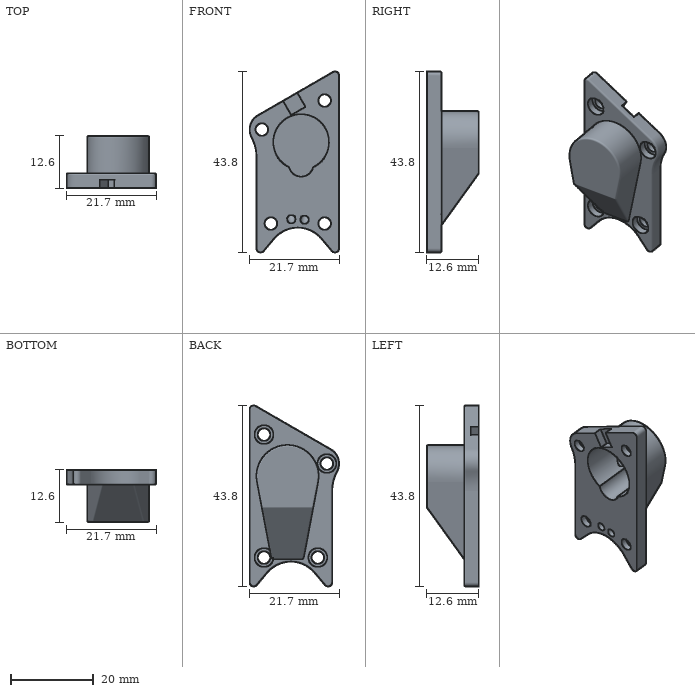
import cadquery as cq
import math


plate_thickness = 3.6
plate_width = 20.0
plate_right = 9.2
plate_left = plate_right - plate_width
plate_height = 43.8
plate_top = 17.1
plate_bottom = plate_top - plate_height
corner_radius = 1.0
edge_round = 0.45

slope_angle = 30.0
ear_radius = 4.0
ear_reach = 21.7
ear_blend_radius = 10.0

saddle_radius = 7.5
saddle_top = -20.72

screw_hole_radius = 1.5
counterbore_radius = 2.3
counterbore_depth = 1.95
screw_inset = 3.5
screw_lower_z = -19.7
screw_upper_z = 10.05
ear_screw = (-9.5, 3.02)

notch_size = 4.0
notch_depth = 2.0
notch_x = -2.67

boss_radius = 7.55
boss_back = 12.6
boss_taper = 10.7
ramp_back_z = -7.6
ramp_plate_z = -20.1

bore_radius = 6.75
bore_depth = 11.4
lobe_radius = 3.0
lobe_bottom = -8.35

channel_radius = 1.0
channel_elbow_y = 1.3
channel_mouths = [(-2.35, -18.65), (0.85, -18.8)]
channel_end_x = 4.8
channel_end_yz = (10.15, -4.15)


def polar(centre, radius, degrees):
    angle = math.radians(degrees)
    return (centre[0] + radius * math.cos(angle), centre[1] + radius * math.sin(angle))


def on_plane_y(y):
    """Sketch plane at the given depth, with local axes X and Z."""
    return cq.Workplane(cq.Plane(origin=(0, y, 0), xDir=(1, 0, 0), normal=(0, -1, 0)))


def prism(sketch, depth):
    """Extrude a sketch from on_plane_y toward +Y."""
    return sketch.extrude(-depth)


slope_normal = 90.0 + slope_angle
normal_x, normal_z = polar((0, 0), 1.0, slope_normal)
top_corner = (plate_right - corner_radius, plate_top - corner_radius)
slope_offset = top_corner[0] * normal_x + top_corner[1] * normal_z + corner_radius


def plate_outline():
    ear_x = plate_right - ear_reach + ear_radius
    ear = (ear_x, (slope_offset - ear_radius - ear_x * normal_x) / normal_z)
    blend_x = plate_left - ear_blend_radius
    blend_angle = math.degrees(math.acos((ear[0] - blend_x) / (ear_radius + ear_blend_radius)))
    blend = (blend_x, ear[1] - (ear[0] - blend_x) * math.tan(math.radians(blend_angle)))

    middle = (plate_left + plate_right) / 2
    saddle = (middle, saddle_top - saddle_radius)
    foot_z = plate_bottom + corner_radius
    right_foot = (plate_right - corner_radius, foot_z)
    left_foot = (plate_left + corner_radius, foot_z)
    run = right_foot[0] - middle
    rise = foot_z - saddle[1]
    spread = math.acos((saddle_radius + corner_radius) / math.hypot(run, rise))
    leg = math.degrees(math.atan2(rise, run) + spread)

    return (
        on_plane_y(0)
        .moveTo(plate_right, foot_z)
        .lineTo(plate_right, top_corner[1])
        .threePointArc(
            polar(top_corner, corner_radius, slope_normal / 2),
            polar(top_corner, corner_radius, slope_normal),
        )
        .lineTo(*polar(ear, ear_radius, slope_normal))
        .threePointArc(
            polar(ear, ear_radius, 180),
            polar(ear, ear_radius, 180 + blend_angle),
        )
        .threePointArc(
            polar(blend, ear_blend_radius, blend_angle / 2),
            polar(blend, ear_blend_radius, 0),
        )
        .lineTo(plate_left, foot_z)
        .threePointArc(
            polar(left_foot, corner_radius, 270 - leg / 2),
            polar(left_foot, corner_radius, -leg),
        )
        .lineTo(*polar(saddle, saddle_radius, 180 - leg))
        .threePointArc(
            polar(saddle, saddle_radius, 90),
            polar(saddle, saddle_radius, leg),
        )
        .lineTo(*polar(right_foot, corner_radius, 180 + leg))
        .threePointArc(
            polar(right_foot, corner_radius, 270 + leg / 2),
            (plate_right, foot_z),
        )
        .close()
    )


def plate():
    return prism(plate_outline(), plate_thickness).faces(">Y").edges().fillet(edge_round)


def boss():
    right_tangent = polar((0, 0), boss_radius, -boss_taper)
    left_tangent = (-right_tangent[0], right_tangent[1])
    taper_run = (right_tangent[1] - plate_bottom) * math.tan(math.radians(boss_taper))
    foot_x = right_tangent[0] - taper_run
    body = prism(
        on_plane_y(plate_thickness)
        .moveTo(*right_tangent)
        .threePointArc((0, boss_radius), left_tangent)
        .lineTo(-foot_x, plate_bottom)
        .lineTo(foot_x, plate_bottom)
        .close(),
        boss_back - plate_thickness,
    )
    ramp_start = (plate_thickness, ramp_plate_z)
    ramp_end = (boss_back, ramp_back_z)
    below_ramp = (
        cq.Workplane("YZ")
        .polyline([ramp_start, ramp_end, (boss_back, plate_bottom), (plate_thickness, plate_bottom)])
        .close()
        .extrude(boss_radius, both=True)
    )
    body = body.cut(below_ramp)
    ramp_middle = (0, (ramp_start[0] + ramp_end[0]) / 2, (ramp_start[1] + ramp_end[1]) / 2)
    ramp_edges = body.faces(cq.NearestToPointSelector(ramp_middle)).edges("not #Y")
    return body.faces(">Y").edges().add(ramp_edges).fillet(edge_round)


def bore():
    round_bore = prism(on_plane_y(0).circle(bore_radius), bore_depth)
    lobe = prism(on_plane_y(0).center(0, lobe_bottom + lobe_radius).circle(lobe_radius), bore_depth)
    return round_bore.union(lobe)


def screw_holes():
    right_x = plate_right - screw_inset
    centres = [
        (plate_left + screw_inset, screw_lower_z),
        (right_x, screw_lower_z),
        (right_x, screw_upper_z),
        ear_screw,
    ]
    shanks = prism(on_plane_y(0).pushPoints(centres).circle(screw_hole_radius), plate_thickness)
    seat = on_plane_y(plate_thickness - counterbore_depth)
    heads = prism(seat.pushPoints(centres).circle(counterbore_radius), counterbore_depth)
    return shanks.union(heads)


def notch():
    edge_z = (slope_offset - notch_x * normal_x) / normal_z
    square = (
        on_plane_y(0)
        .center(notch_x, edge_z)
        .transformed(rotate=(0, 0, slope_angle))
        .rect(notch_size, 2 * notch_size)
    )
    return prism(square, notch_depth)


def channel(mouth_xz, end_x):
    """Round passage that leaves the front face squarely, bends, and rises straight to the bore."""
    mouth = cq.Vector(mouth_xz[0], 0, mouth_xz[1])
    inward = cq.Vector(0, 1, 0)
    elbow = mouth + inward * channel_elbow_y
    end = cq.Vector(end_x, *channel_end_yz)
    bend_end = elbow + (end - elbow).normalized() * channel_elbow_y
    bend = cq.Edge.makeTangentArc(mouth, inward, bend_end)
    riser = cq.Edge.makeLine(bend_end, end)
    path = cq.Wire.assembleEdges([bend, riser])
    return on_plane_y(0).center(*mouth_xz).circle(channel_radius).sweep(cq.Workplane(path))


result = plate().union(boss()).cut(bore()).cut(screw_holes()).cut(notch())
for mouth_xz, side in zip(channel_mouths, (-1, 1)):
    result = result.cut(channel(mouth_xz, side * channel_end_x))